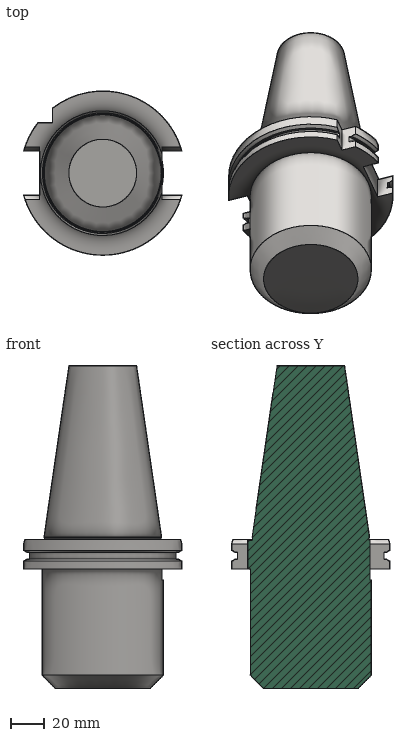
import cadquery as cq
import math

gauge_diameter = 69.85
taper_length = 101.6
taper_ratio = 7 / 24
taper_end_diameter = gauge_diameter - taper_ratio * taper_length
neck_diameter = 69.25
neck_top = -0.4
foot_diameter = 70.3
foot_height = 0.6

flange_diameter = 97.5
flange_top = -1.5
flange_bottom = -19.05
groove_root_diameter = 91.0
groove_center = -11.15
groove_root_width = 4.0
groove_flank_depth = 2.05
groove_flank_angle = 30

relief_outer_diameter = 74.0
relief_floor_diameter = 71.6
relief_depth = 0.4

body_diameter = 72.0
body_bottom = -90.0
body_chamfer = 8.0

slot_width = 26.0
slot_chamfer = 2.6
left_slot_floor = 37.5
right_slot_floor = 35.3
right_slot_bottom = -25.5

notch_x = 29.9
notch_y = 29.9

clearance = 5.0


def turned_blank():
    """Taper, neck, grooved flange and chamfered body revolved about Z."""
    flange_radius = flange_diameter / 2
    root_radius = groove_root_diameter / 2
    flank_radius = flange_radius - groove_flank_depth
    half_root = groove_root_width / 2
    half_mouth = half_root + groove_flank_depth * math.tan(math.radians(groove_flank_angle))
    body_radius = body_diameter / 2
    relief_floor = flange_top - relief_depth
    profile = [
        (0, body_bottom),
        (body_radius - body_chamfer, body_bottom),
        (body_radius, body_bottom + body_chamfer),
        (body_radius, flange_bottom),
        (flange_radius, flange_bottom),
        (flange_radius, groove_center - half_mouth),
        (flank_radius, groove_center - half_root),
        (root_radius, groove_center - half_root),
        (root_radius, groove_center + half_root),
        (flank_radius, groove_center + half_root),
        (flange_radius, groove_center + half_mouth),
        (flange_radius, flange_top),
        (relief_outer_diameter / 2, flange_top),
        (relief_floor_diameter / 2, relief_floor),
        (foot_diameter / 2, relief_floor),
        (neck_diameter / 2, relief_floor + foot_height),
        (neck_diameter / 2, neck_top),
        (gauge_diameter / 2, 0),
        (taper_end_diameter / 2, taper_length),
        (0, taper_length),
    ]
    return cq.Workplane("XZ").polyline(profile).close().revolve(360, (0, 0, 0), (0, 1, 0))


def drive_slot(floor_distance, bottom, side):
    """Radial slot cutter with chamfered top edges; side is +1 for +X and -1 for -X."""
    half_width = slot_width / 2
    half_mouth = half_width + slot_chamfer
    depth = flange_diameter / 2 + clearance - floor_distance
    profile = [
        (-half_width, bottom),
        (half_width, bottom),
        (half_width, flange_top - slot_chamfer),
        (half_mouth, flange_top),
        (-half_mouth, flange_top),
        (-half_width, flange_top - slot_chamfer),
    ]
    plane = cq.Workplane("YZ", origin=(side * floor_distance, 0, 0))
    return plane.polyline(profile).close().extrude(side * depth)


def orientation_notch():
    """Square corner cut through the full height of the flange."""
    reach = flange_diameter / 2
    return cq.Workplane("XY").box(
        reach, reach, flange_top - flange_bottom, centered=False
    ).translate((-notch_x - reach, notch_y, flange_bottom))


result = (
    turned_blank()
    .cut(drive_slot(left_slot_floor, flange_bottom, -1))
    .cut(drive_slot(right_slot_floor, right_slot_bottom, 1))
    .cut(orientation_notch())
)